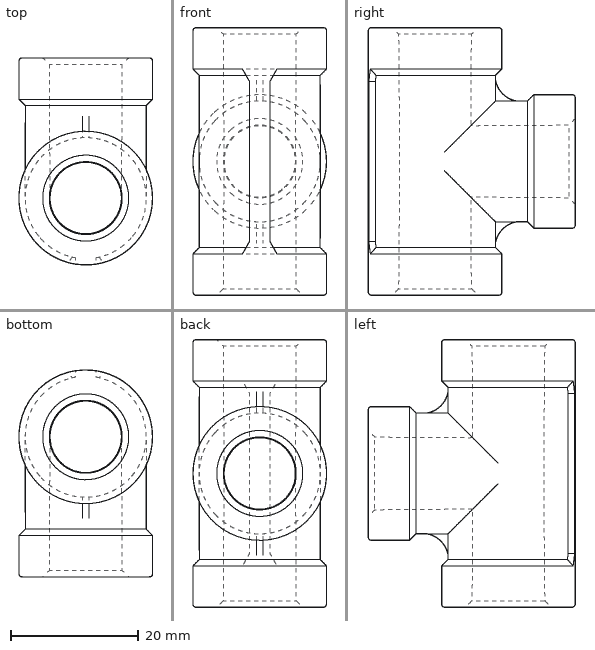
import cadquery as cq

body_diameter = 19.0
collar_diameter = 21.0
run_length = 42.0
branch_reach = 22.0
collar_length = 6.5
rim_round = 0.5

bore_diameter = 11.45
bore_centre_diameter = 11.2
bore_mouth_diameter = 13.5

rib_width = 3.2
rib_flare = 1.1
rib_flare_length = 1.95

gusset_thickness = 1.0
gusset_radius = 4.08

body_radius = body_diameter / 2
collar_radius = collar_diameter / 2
collar_step = collar_radius - body_radius
half_length = run_length / 2
collar_start = half_length - collar_length
shoulder_foot = collar_start - collar_step
bore_radius = bore_diameter / 2
bore_centre_radius = bore_centre_diameter / 2
bore_mouth_radius = bore_mouth_diameter / 2
mouth_depth = bore_mouth_radius - bore_radius


def revolve_about_z(profile):
    """Revolve a closed (radius, z) profile about the Z axis."""
    return cq.Workplane("XZ").polyline(profile).close().revolve(360, (0, 0), (0, 1))


def point_along_y(shape):
    """Turn a shape built along +Z so that it points along +Y."""
    return shape.rotate((0, 0, 0), (1, 0, 0), -90)


def rib_plate(depth):
    """Plate from the run axis towards -Y with the rib's outline, flared at both collars."""
    narrow = rib_width / 2
    wide = narrow + rib_flare
    flare_start = collar_start - rib_flare_length
    outline = [
        (narrow, -flare_start),
        (narrow, flare_start),
        (wide, collar_start),
        (-wide, collar_start),
        (-narrow, flare_start),
        (-narrow, -flare_start),
        (-wide, -collar_start),
        (wide, -collar_start),
    ]
    return cq.Workplane("XZ").polyline(outline).close().extrude(depth)


def run():
    """Collar-sized cylinder with rounded rims, waisted between the collars except at the rib."""
    cylinder = cq.Workplane("XY").circle(collar_radius).extrude(half_length, both=True)
    cylinder = cylinder.faces("|Z").edges().fillet(rim_round)
    groove_radius = collar_radius + collar_step
    groove_end = collar_start + collar_step
    groove = revolve_about_z([
        (body_radius, -shoulder_foot),
        (groove_radius, -groove_end),
        (groove_radius, groove_end),
        (body_radius, shoulder_foot),
    ])
    return cylinder.cut(groove.cut(rib_plate(groove_radius)))


def branch():
    """Arm along +Y: plain body, 45 degree shoulder, collar, rounded rim."""
    start = branch_reach - collar_length
    arm = revolve_about_z([
        (0, 0),
        (body_radius, 0),
        (body_radius, start - collar_step),
        (collar_radius, start),
        (collar_radius, branch_reach),
        (0, branch_reach),
    ])
    return point_along_y(arm.faces(">Z").edges().fillet(rim_round))


def gusset():
    """Thin concave web in the upper corner between the run and the branch."""
    web = (
        cq.Workplane("YZ")
        .rect(shoulder_foot, shoulder_foot, centered=False)
        .extrude(gusset_thickness / 2, both=True)
    )
    hollow = (
        cq.Workplane("YZ")
        .center(shoulder_foot, shoulder_foot)
        .circle(gusset_radius)
        .extrude(gusset_thickness, both=True)
    )
    return web.cut(hollow)


def bore(reach):
    """Slightly tapered bore from the origin up +Z with a 45 degree countersunk mouth."""
    return revolve_about_z([
        (0, 0),
        (bore_centre_radius, 0),
        (bore_radius, reach - mouth_depth),
        (bore_mouth_radius, reach),
        (0, reach),
    ])


upper_gusset = gusset()
fitting = run().union(branch()).union(upper_gusset).union(upper_gusset.mirror("XY"))

upper_bore = bore(half_length)
fitting = fitting.cut(upper_bore).cut(upper_bore.mirror("XY"))
result = fitting.cut(point_along_y(bore(branch_reach)))